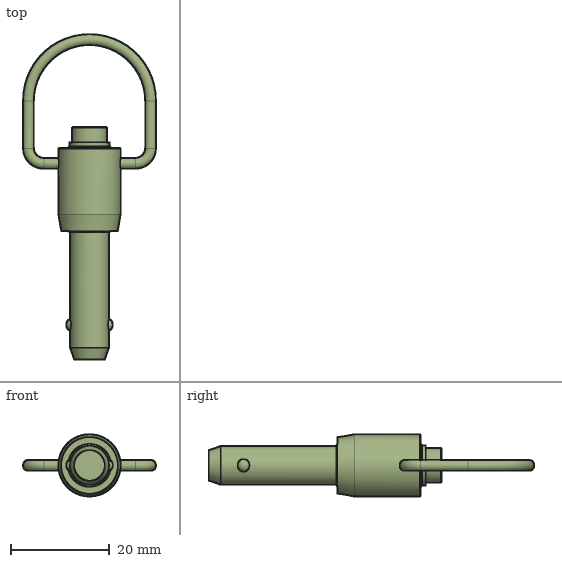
import cadquery as cq

overall_length = 66.0

shank_radius = 3.95
tip_radius = 3.1
tip_taper_length = 2.45

ball_radius = 1.3
ball_position = 7.05
ball_reach = 4.75

body_radius = 6.35
body_front = 26.05
body_front_radius = 5.75
body_taper_end = 29.5
body_rear = 42.95
edge_chamfer = 0.2

shoulder_radius = 4.35
shoulder_length = 0.25

collar_base_radius = 4.35
collar_radius = 4.1
collar_flare_length = 0.3
collar_rear = 44.0
button_radius = 3.55
button_rear = 47.2

wire_radius = 1.1
handle_width = 27.0
bend_radius = 3.1
handle_bow_radius = handle_width / 2 - wire_radius
bow_center = overall_length - handle_width / 2
wire_entry = 39.8


def make_pin():
    """Shank, body, collar and button as one turned solid about Y."""
    profile = [
        (0, 0),
        (tip_radius, 0),
        (shank_radius, tip_taper_length),
        (shank_radius, body_front - shoulder_length),
        (shoulder_radius, body_front),
        (body_front_radius, body_front),
        (body_radius, body_taper_end),
        (body_radius, body_rear - edge_chamfer),
        (body_radius - edge_chamfer, body_rear),
        (collar_base_radius, body_rear),
        (collar_radius, body_rear + collar_flare_length),
        (collar_radius, collar_rear),
        (button_radius, collar_rear),
        (button_radius, button_rear - edge_chamfer),
        (button_radius - edge_chamfer, button_rear),
        (0, button_rear),
    ]
    return cq.Workplane("XY").polyline(profile).close().revolve(360, (0, 0, 0), (0, 1, 0))


def make_ball(side):
    """Locking ball on the +X (side = 1) or -X (side = -1) flank of the shank."""
    center_x = side * (ball_reach - ball_radius)
    return cq.Workplane("XY").sphere(ball_radius).translate((center_x, ball_position, 0))


def make_handle():
    """Round wire swept around the bow, with both ends meeting inside the body."""
    side_x = handle_bow_radius
    bend_x = side_x - bend_radius
    bend_end = wire_entry + bend_radius
    path = (
        cq.Workplane("XY")
        .moveTo(0, wire_entry)
        .lineTo(-bend_x, wire_entry)
        .radiusArc((-side_x, bend_end), bend_radius)
        .lineTo(-side_x, bow_center)
        .threePointArc((0, bow_center + handle_bow_radius), (side_x, bow_center))
        .lineTo(side_x, bend_end)
        .radiusArc((bend_x, wire_entry), bend_radius)
        .lineTo(0, wire_entry)
    )
    return cq.Workplane("YZ").center(wire_entry, 0).circle(wire_radius).sweep(path)


result = make_pin().union(make_handle())
for side in (-1, 1):
    result = result.union(make_ball(side))